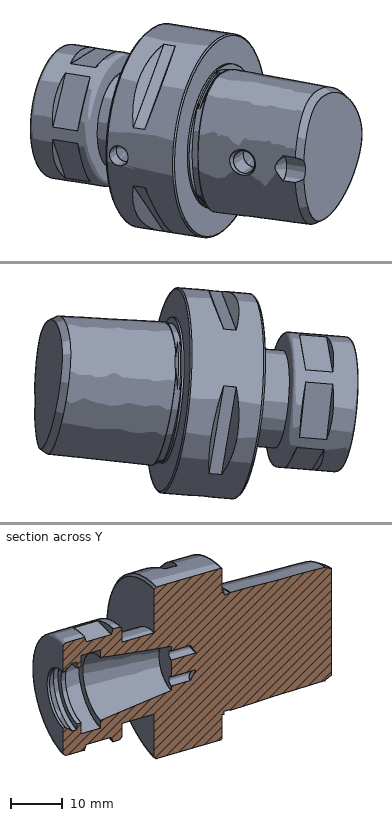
import cadquery as cq
import math

TOTAL_LENGTH = 59.0

DRILL_HALF_ANGLE = 59.0
CUTTER_OVERRUN = 0.6

NUT_LENGTH = 13.05
NUT_RADIUS = 13.15
NUT_ROUNDING = 0.95
NUT_FLATS = 6
NUT_FLAT_DISTANCE = 12.0
NUT_FLAT_CENTRE_X = 7.9
NUT_FLAT_WIDTH = 5.35
NUT_FLAT_WALL_ANGLE = 20.0

NECK_RADIUS = 9.5
FLANGE_START_X = 20.0
FLANGE_END_X = 35.0
FLANGE_RADIUS = 20.0
FLANGE_FRONT_CHAMFER = 0.5
FLANGE_BACK_CHAMFER = 0.3
GRIP_FLATS = 4
GRIP_FLAT_DISTANCE = 17.7
GRIP_FLAT_CENTRE_X = 26.95
GRIP_FLAT_WIDTH = 2.5
GRIP_WALL_ANGLE = 30.0
FLANGE_HOLE_X = 23.0
FLANGE_HOLE_RADIUS = 2.0
FLANGE_HOLE_DEPTH = 2.95

SHANK_START_X = 36.7
SHANK_RADIUS = 14.0
LOBE_HEIGHT = 0.9
LOBES = 3
TAPER = 1 / 40
SHANK_CHAMFER_LENGTH = 1.5
SHANK_CHAMFER_ANGLE = 30.0

RELIEF_STEP = 0.2
RELIEF_RADIUS = 14.0
RELIEF_END_X = 36.05
RELIEF_RISE = 2.35
RING_RADIUS = 14.2
RING_WIDTH = 0.4

SHANK_HOLE_X = 46.4
SHANK_HOLE_RADIUS = 2.3
SHANK_HOLE_DEPTH = 4.7
SHANK_HOLE_CHAMFER = 0.5
NOTCH_RADIUS = 2.9
NOTCH_LENGTH = 4.1
NOTCH_DEPTH = 1.65
NOTCH_TIP_HALF_ANGLE = 47.0

MOUTH_RADIUS = 6.5
MOUTH_LENGTH = 0.55
CATCH_RADIUS = 7.8
CATCH_CONE_END_X = 2.05
CATCH_END_X = 3.05
LIP_END_X = 4.0
THREAD_RADIUS = 9.0
COLLET_SEAT_X = 8.25
COLLET_RADIUS = 7.25
COLLET_HALF_ANGLE = 8.0
FLOOR_RADIUS = 5.1
COOLANT_HOLE_RADIUS = 1.0
COOLANT_HOLE_OFFSET = 3.0
COOLANT_HOLE_DEPTH = 3.55

FLOOR_X = COLLET_SEAT_X + (COLLET_RADIUS - FLOOR_RADIUS) / math.tan(math.radians(COLLET_HALF_ANGLE))


def turned(points):
    """Solid of revolution about X from an outline of (x, radius) points."""
    return cq.Workplane("XY").polyline(points).close().revolve(360, (0, 0, 0), (1, 0, 0))


def cylinder(start_x, end_x, radius):
    return cq.Workplane("YZ", origin=(start_x, 0, 0)).circle(radius).extrude(end_x - start_x)


def turn_about_axis(shape, angle):
    return shape.rotate((0, 0, 0), (1, 0, 0), angle)


def turn_about_z(shape, angle):
    return shape.rotate((0, 0, 0), (0, 0, 1), angle)


def drill(radius, depth, chamfer=0.0, tip_half_angle=DRILL_HALF_ANGLE):
    """Conical-tipped drill along +X, with depth and a 45 degree mouth chamfer measured from X = 0."""
    tip_x = depth + radius / math.tan(math.radians(tip_half_angle))
    outline = [(0, 0), (0, radius), (depth, radius), (tip_x, 0)]
    if chamfer:
        mouth_radius = radius + chamfer + CUTTER_OVERRUN
        outline[:2] = [(-CUTTER_OVERRUN, 0), (-CUTTER_OVERRUN, mouth_radius), (chamfer, radius)]
    return turned(outline)


def flat_cutters(count, centre_x, width, distance, rim_radius, wall_angle):
    """Trapezoidal cutters for flats spread evenly round the axis, the first facing +Z."""
    height = rim_radius - distance + CUTTER_OVERRUN
    top_width = width + 2 * height * math.tan(math.radians(wall_angle))
    profile = [
        (centre_x - width / 2, distance),
        (centre_x + width / 2, distance),
        (centre_x + top_width / 2, distance + height),
        (centre_x - top_width / 2, distance + height),
    ]
    cutter = cq.Workplane("XZ").polyline(profile).close().extrude(rim_radius, both=True)
    step = 360 / count
    return [turn_about_axis(cutter, step * i) for i in range(count)]


def polygon_wire(x, mean_radius):
    """Rounded three-lobed outline in the plane at x, with one lobe toward +Y."""

    def point(t):
        angle = math.pi + 2 * math.pi * t
        support = mean_radius + LOBE_HEIGHT * math.cos(LOBES * angle)
        slope = -LOBES * LOBE_HEIGHT * math.sin(LOBES * angle)
        y = support * math.cos(angle) - slope * math.sin(angle)
        z = support * math.sin(angle) + slope * math.cos(angle)
        return cq.Vector(x, y, z)

    samples = 48
    points = [point(i / samples) for i in range(samples)]
    return cq.Wire.assembleEdges([cq.Edge.makeSpline(points, periodic=True)])


def polygon_solid(start_x, start_radius, end_x, end_radius):
    ends = [polygon_wire(start_x, start_radius), polygon_wire(end_x, end_radius)]
    return cq.Workplane(obj=cq.Solid.makeLoft(ends, True))


def make_nut():
    nut = cylinder(0, NUT_LENGTH, NUT_RADIUS).edges().fillet(NUT_ROUNDING)
    for cutter in flat_cutters(
        NUT_FLATS, NUT_FLAT_CENTRE_X, NUT_FLAT_WIDTH, NUT_FLAT_DISTANCE, NUT_RADIUS, NUT_FLAT_WALL_ANGLE
    ):
        nut = nut.cut(cutter)
    return nut


def make_flange():
    flange = cylinder(FLANGE_START_X, FLANGE_END_X, FLANGE_RADIUS)
    flange = flange.faces("<X").chamfer(FLANGE_FRONT_CHAMFER)
    flange = flange.faces(">X").edges().chamfer(FLANGE_BACK_CHAMFER)
    for cutter in flat_cutters(
        GRIP_FLATS, GRIP_FLAT_CENTRE_X, GRIP_FLAT_WIDTH, GRIP_FLAT_DISTANCE, FLANGE_RADIUS, GRIP_WALL_ANGLE
    ):
        flange = flange.cut(turn_about_axis(cutter, 180 / GRIP_FLATS))
    hole = turn_about_z(drill(FLANGE_HOLE_RADIUS, FLANGE_HOLE_DEPTH), 90)
    return flange.cut(hole.translate((FLANGE_HOLE_X, -FLANGE_RADIUS, 0)))


def make_shank():
    chamfer_x = TOTAL_LENGTH - SHANK_CHAMFER_LENGTH
    chamfer_radius = SHANK_RADIUS - TAPER * (chamfer_x - SHANK_START_X)
    end_radius = chamfer_radius - SHANK_CHAMFER_LENGTH * math.tan(math.radians(SHANK_CHAMFER_ANGLE))
    neck_radius = SHANK_RADIUS - RELIEF_STEP

    shank = polygon_solid(FLANGE_END_X, neck_radius, SHANK_START_X, neck_radius)
    shank = shank.union(polygon_solid(SHANK_START_X, SHANK_RADIUS, chamfer_x, chamfer_radius))
    shank = shank.union(polygon_solid(chamfer_x, chamfer_radius, TOTAL_LENGTH, end_radius))

    ring_end_x = FLANGE_END_X + RING_WIDTH
    outer_radius = RELIEF_RADIUS + RELIEF_RISE
    relief = turned(
        [
            (FLANGE_END_X, RING_RADIUS),
            (ring_end_x, RING_RADIUS),
            (ring_end_x + RING_RADIUS - RELIEF_RADIUS, RELIEF_RADIUS),
            (RELIEF_END_X, RELIEF_RADIUS),
            (RELIEF_END_X + RELIEF_RISE, outer_radius),
            (FLANGE_END_X, outer_radius),
        ]
    )
    shank = shank.cut(relief).union(cylinder(FLANGE_END_X, ring_end_x, RING_RADIUS))

    low_radius = SHANK_RADIUS - LOBE_HEIGHT - TAPER * (SHANK_HOLE_X - SHANK_START_X)
    hole = drill(SHANK_HOLE_RADIUS, SHANK_HOLE_DEPTH, SHANK_HOLE_CHAMFER)
    hole = turn_about_z(hole, 90)
    shank = shank.cut(hole.translate((SHANK_HOLE_X, -low_radius, 0)))

    notch = drill(NOTCH_RADIUS, NOTCH_LENGTH, tip_half_angle=NOTCH_TIP_HALF_ANGLE)
    notch = turn_about_z(notch, 180)
    notch_y = LOBE_HEIGHT - chamfer_radius + NOTCH_DEPTH - NOTCH_RADIUS
    return shank.cut(notch.translate((TOTAL_LENGTH, notch_y, 0)))


def make_bore():
    bore = turned(
        [
            (0, 0),
            (0, MOUTH_RADIUS),
            (MOUTH_LENGTH, MOUTH_RADIUS),
            (CATCH_CONE_END_X, CATCH_RADIUS),
            (CATCH_END_X, CATCH_RADIUS),
            (CATCH_END_X, MOUTH_RADIUS),
            (LIP_END_X, MOUTH_RADIUS),
            (LIP_END_X, THREAD_RADIUS),
            (COLLET_SEAT_X, THREAD_RADIUS),
            (COLLET_SEAT_X, COLLET_RADIUS),
            (FLOOR_X, FLOOR_RADIUS),
            (FLOOR_X, 0),
        ]
    )

    tip = drill(FLOOR_RADIUS, COOLANT_HOLE_DEPTH).translate((FLOOR_X, 0, 0))
    for side in (1, -1):
        hole = cylinder(FLOOR_X, TOTAL_LENGTH, COOLANT_HOLE_RADIUS)
        hole = hole.translate((0, 0, side * COOLANT_HOLE_OFFSET))
        bore = bore.union(hole.intersect(tip))
    return bore


neck = cylinder(NUT_LENGTH, FLANGE_START_X, NECK_RADIUS)
body = make_nut().union(neck).union(make_flange()).union(make_shank())
result = body.cut(make_bore())